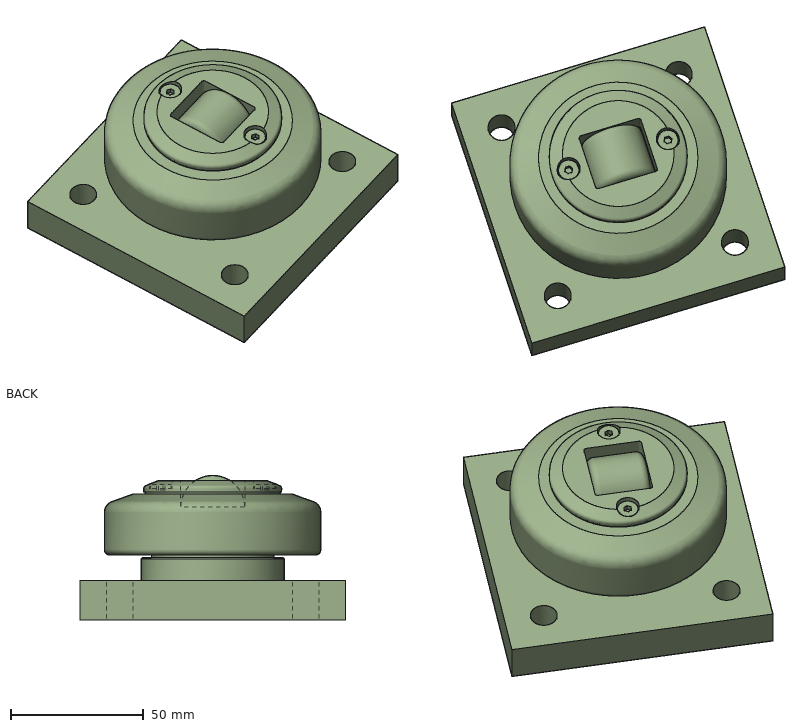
import cadquery as cq

plate_side = 100.0
plate_height = 15.0
mount_hole_diameter = 10.1
mount_hole_spacing = 70.0

neck_radius = 27.0
neck_chamfer = 0.5
gap_radius = 23.1
gap_height = 1.0
body_radius = 40.8
body_bottom = 24.5
body_top = 47.5
body_top_radius = 30.0
body_slope_drop = 3.9
body_top_fillet = 4.3
body_bottom_fillet = 2.0

cap_radius = 26.0
cap_foot_radius = 25.5
cap_foot_height = 0.8
cap_top = 52.5
cap_top_radius = 21.0
cap_slope_drop = 2.2
cap_edge_fillet = 1.2

total_height = 54.5
window_length = 24.4
window_width = 22.0
window_corner_radius = 1.0
roller_radius = 12.0
roller_length = 21.6
roller_end_round = 2.7
roller_axis_height = total_height - roller_radius

screw_offset = 19.6
screw_bore_diameter = 8.6
screw_head_diameter = 7.8
screw_bore_depth = 3.0
screw_head_height = 1.5
screw_socket_corners = 3.1
screw_socket_depth = 2.0


def disc(radius, bottom, top):
    return cq.Workplane("XY").workplane(offset=bottom).circle(radius).extrude(top - bottom)


def sloped_disc(radius, top_radius, bottom, top, slope_drop):
    """Disc whose top edge is cut by a cone."""
    profile = [(0, bottom), (radius, bottom), (radius, top - slope_drop), (top_radius, top), (0, top)]
    return cq.Workplane("XZ").polyline(profile).close().revolve(360, (0, 0, 0), (0, 1, 0))


def round_edge_at(solid, radius, height, fillet):
    """Fillet the circular edge of the given radius at the given height."""
    reach = 0.01
    selector = cq.selectors.BoxSelector(
        (-radius - reach, -radius - reach, height - reach),
        (radius + reach, radius + reach, height + reach),
        boundingbox=True,
    )
    return solid.edges(selector).fillet(fillet)


def make_plate():
    plate = cq.Workplane("XY").box(plate_side, plate_side, plate_height, centered=(True, True, False))
    return (
        plate.faces(">Z").workplane()
        .rect(mount_hole_spacing, mount_hole_spacing, forConstruction=True)
        .vertices().hole(mount_hole_diameter)
    )


def make_neck():
    neck_top = body_bottom - gap_height
    neck = disc(neck_radius, plate_height, neck_top).faces(">Z").edges().chamfer(neck_chamfer)
    return neck.union(disc(gap_radius, neck_top, body_bottom))


def make_body():
    body = sloped_disc(body_radius, body_top_radius, body_bottom, body_top, body_slope_drop)
    body = round_edge_at(body, body_radius, body_top - body_slope_drop, body_top_fillet)
    return body.faces("<Z").edges().fillet(body_bottom_fillet)


def make_cap():
    cap_bottom = body_top + cap_foot_height
    cap = sloped_disc(cap_radius, cap_top_radius, cap_bottom, cap_top, cap_slope_drop)
    cap = round_edge_at(cap, cap_radius, cap_top - cap_slope_drop, cap_edge_fillet)
    return cap.union(disc(cap_foot_radius, body_top, cap_bottom))


def make_window():
    """Pocket that reaches down to the axis of the side roller."""
    return (
        cq.Workplane("XY").workplane(offset=roller_axis_height)
        .rect(window_length, window_width).extrude(total_height - roller_axis_height)
        .edges("|Z").fillet(window_corner_radius)
    )


def make_side_roller():
    roller = (
        cq.Workplane("XZ", origin=(0, roller_length / 2, roller_axis_height))
        .circle(roller_radius).extrude(roller_length)
    )
    return roller.edges().fillet(roller_end_round)


def add_screw(part, x):
    bore_floor = cap_top - screw_bore_depth
    head_top = bore_floor + screw_head_height
    bore = disc(screw_bore_diameter / 2, bore_floor, cap_top)
    head = disc(screw_head_diameter / 2, bore_floor, head_top)
    socket = (
        cq.Workplane("XY").workplane(offset=head_top)
        .polygon(6, screw_socket_corners).extrude(-screw_socket_depth)
    )
    screw_space = bore.cut(head).union(socket)
    return part.cut(screw_space.translate((x, 0, 0)))


result = make_plate().union(make_neck()).union(make_body()).union(make_cap())
result = result.cut(make_window()).union(make_side_roller())
for screw_x in (-screw_offset, screw_offset):
    result = add_screw(result, screw_x)